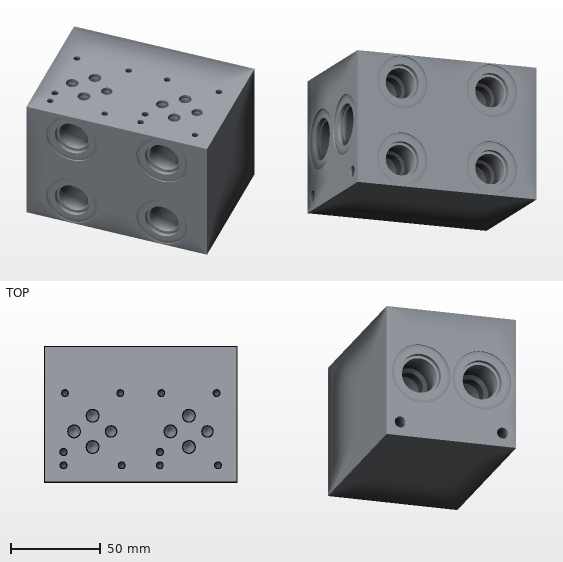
import cadquery as cq
import math

LENGTH = 108.0
DEPTH = 76.2
HEIGHT = 76.2

DRILL_POINT_ANGLE = 118.0
SPOTFACE_DEPTH = 0.8

FRONT_SPOTFACE_DIA = 30.2
FRONT_SEAT_DIA = 20.6
FRONT_THREAD_DIA = 17.5
FRONT_DRILL_DIA = 14.2
FRONT_SEAT_DEPTH = 3.2
FRONT_THREAD_DEPTH = 18.4
FRONT_DRILL_DEPTH = 27.0
FRONT_PORT_PITCH = 44.5

SIDE_SPOTFACE_DIA = 34.4
SIDE_SEAT_DIA = 23.9
SIDE_THREAD_DIA = 20.4
SIDE_DRILL_DIA = 15.9
SIDE_SEAT_DEPTH = 3.2
SIDE_THREAD_DEPTH = 20.5
SIDE_DRILL_DEPTH = 29.1
SIDE_PORT_PITCH = 35.7

MOUNT_DIA = 6.5
MOUNT_DEPTH = 17.3
MOUNT_INSET = 8.0

STATION_PITCH = LENGTH / 2
STATION_CENTERS = (LENGTH / 2 - STATION_PITCH / 2, LENGTH / 2 + STATION_PITCH / 2)

BOLT_DIA = 3.8
BOLT_DEPTH = 13.0
FRONT_BOLT_Y = 9.6
BOLT_ROW_PITCH = 40.5
BACK_BOLT_SPACING = 31.0
FRONT_BOLT_SPACING = 32.6

PIN_DIA = 4.0
PIN_DEPTH = 6.5
PIN_OFFSET = 7.5

VALVE_PORT_DIA = 7.1
SMALL_VALVE_PORT_DIA = 6.4
VALVE_PORT_DEPTH = 2.0
VALVE_PORT_SIDE_OFFSET = 10.4
VALVE_PORT_FROM_BACK_BOLTS = (12.7, 21.5, 30.2)


def drilled_hole(start, direction, diameter, depth):
    """Blind hole with a conical drill point; depth is that of its straight wall."""
    radius = diameter / 2
    point_length = radius / math.tan(math.radians(DRILL_POINT_ANGLE / 2))
    wall = cq.Solid.makeCylinder(radius, depth, start, direction)
    point = cq.Solid.makeCone(radius, 0, point_length, start + direction * depth, direction)
    return wall.fuse(point)


def threaded_port(start, direction, spotface_dia, seat_dia, thread_dia, drill_dia,
                  seat_depth, thread_depth, drill_depth):
    """Spotface, flat seat, thread bore and a narrower drilled hole on one axis."""
    spotface = cq.Solid.makeCylinder(spotface_dia / 2, SPOTFACE_DEPTH, start, direction)
    seat = cq.Solid.makeCylinder(seat_dia / 2, seat_depth, start, direction)
    thread = drilled_hole(start, direction, thread_dia, thread_depth)
    drill = drilled_hole(start, direction, drill_dia, drill_depth)
    return spotface.fuse(seat, thread, drill)


def front_ports():
    inward = cq.Vector(0, 1, 0)
    ports = []
    for x in STATION_CENTERS:
        for side in (-1, 1):
            start = cq.Vector(x, 0, HEIGHT / 2 + side * FRONT_PORT_PITCH / 2)
            ports.append(threaded_port(
                start, inward, FRONT_SPOTFACE_DIA, FRONT_SEAT_DIA, FRONT_THREAD_DIA,
                FRONT_DRILL_DIA, FRONT_SEAT_DEPTH, FRONT_THREAD_DEPTH, FRONT_DRILL_DEPTH))
    return ports


def side_ports():
    inward = cq.Vector(1, 0, 0)
    ports = []
    for side in (-1, 1):
        start = cq.Vector(0, DEPTH / 2 + side * SIDE_PORT_PITCH / 2, HEIGHT / 2)
        ports.append(threaded_port(
            start, inward, SIDE_SPOTFACE_DIA, SIDE_SEAT_DIA, SIDE_THREAD_DIA,
            SIDE_DRILL_DIA, SIDE_SEAT_DEPTH, SIDE_THREAD_DEPTH, SIDE_DRILL_DEPTH))
    return ports


def mounting_holes():
    inward = cq.Vector(1, 0, 0)
    return [
        drilled_hole(cq.Vector(0, y, MOUNT_INSET), inward, MOUNT_DIA, MOUNT_DEPTH)
        for y in (MOUNT_INSET, DEPTH - MOUNT_INSET)
    ]


def station_holes(center_x):
    """Bolt holes, locating pin hole and four oil ports of one valve station."""
    back_bolt_y = FRONT_BOLT_Y + BOLT_ROW_PITCH
    back_port_y, middle_port_y, front_port_y = (
        back_bolt_y - offset for offset in VALVE_PORT_FROM_BACK_BOLTS)
    pin_x = center_x - FRONT_BOLT_SPACING / 2
    left_port_x = center_x - VALVE_PORT_SIDE_OFFSET
    right_port_x = center_x + VALVE_PORT_SIDE_OFFSET

    holes = [
        (pin_x, FRONT_BOLT_Y + PIN_OFFSET, PIN_DIA, PIN_DEPTH),
        (center_x, back_port_y, VALVE_PORT_DIA, VALVE_PORT_DEPTH),
        (center_x, front_port_y, VALVE_PORT_DIA, VALVE_PORT_DEPTH),
        (left_port_x, middle_port_y, VALVE_PORT_DIA, VALVE_PORT_DEPTH),
        (right_port_x, middle_port_y, SMALL_VALVE_PORT_DIA, VALVE_PORT_DEPTH),
    ]
    for side in (-1, 1):
        holes.append((center_x + side * FRONT_BOLT_SPACING / 2, FRONT_BOLT_Y, BOLT_DIA, BOLT_DEPTH))
        holes.append((center_x + side * BACK_BOLT_SPACING / 2, back_bolt_y, BOLT_DIA, BOLT_DEPTH))

    down = cq.Vector(0, 0, -1)
    return [
        drilled_hole(cq.Vector(x, y, HEIGHT), down, diameter, depth)
        for x, y, diameter, depth in holes
    ]


cutters = front_ports() + side_ports() + mounting_holes()
for station_x in STATION_CENTERS:
    cutters += station_holes(station_x)

block = cq.Solid.makeBox(LENGTH, DEPTH, HEIGHT)
result = cq.Workplane(obj=block.cut(*cutters))